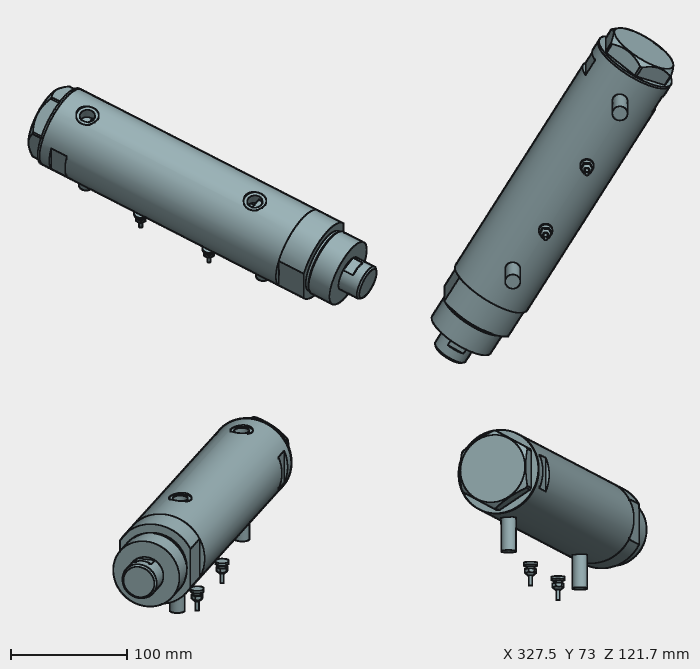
import cadquery as cq
import math

total_length = 327.5

hex_length = 14.0
flange_end = 16.0
spigot_end = 42.5
barrel_end = 256.8
head_end = 282.3
relief_end = 285.0
nose_end = 307.2

barrel_diameter = 73.0
barrel_radius = barrel_diameter / 2
bore_radius = 25.0
barrel_flat_start = 26.0
barrel_flat_end = 42.0
barrel_across_flats = 66.8

port_positions = (41.5, 212.2)
port_radius = 6.5
spotface_radius = 9.8
spotface_depth = 1.5
spotface_level = barrel_radius - spotface_depth

leg_positions = (40.3, 220.7)
leg_radius = 6.5
leg_bottom = -65.2

hex_across_flats = 60.0
hex_turned_radius = 34.0
hex_chamfer = 4.5

gland_spigot_start = port_positions[1]
gland_spigot_radius = 31.0
gland_across_flats = 64.0
nose_diameter = 60.0
nose_radius = nose_diameter / 2
nose_chamfer = 1.15
relief_radius = nose_radius - nose_chamfer

rod_diameter = 31.0
rod_radius = rod_diameter / 2
piston_length = 25.0
rod_flat_end = 317.0
rod_across_flats = 27.0
rod_chamfer = 1.5

nipple_positions = (96.0, 165.5)
nipple_top = leg_bottom
nipple_length = 20.0
nipple_head_radius = 6.0
nipple_head_height = 2.3
nipple_neck_radius = 3.5
nipple_neck_start = 3.5
nipple_hex_start = 5.5
nipple_hex_end = 8.5
nipple_hex_across_flats = 9.0
nipple_cone_tip_radius = 2.3
nipple_stem_radius = 1.5
nipple_stem_start = 11.0


def hex_diameter(across_flats):
    """Diameter of the circle through the corners of a hexagon."""
    return across_flats / math.cos(math.radians(30))


def round_bar(start, end, radius):
    """Cylinder on the X axis between two stations."""
    return cq.Workplane("YZ", origin=(start, 0, 0)).circle(radius).extrude(end - start)


def flats_cutter(start, end, radius, across_flats):
    """Two segments to cut from a round bar for flats facing -Y and +Y."""
    kept = (
        cq.Workplane("YZ", origin=(start, 0, 0))
        .rect(across_flats, 3 * radius)
        .extrude(end - start)
    )
    return round_bar(start, end, radius).cut(kept)


def cap_hex():
    """Hexagon with corners up and down, turned to a cylinder and chamfered at its outer face."""
    hexagon = (
        cq.Workplane("YZ")
        .polygon(6, hex_diameter(hex_across_flats))
        .extrude(hex_length)
        .rotate((0, 0, 0), (1, 0, 0), 90)
    )
    envelope = round_bar(0, hex_length, hex_turned_radius).faces("<X").chamfer(hex_chamfer)
    return hexagon.intersect(envelope)


def make_end_cap():
    """Hexagon, flange against the barrel end, and a spigot that fills the bore."""
    flange = round_bar(hex_length, flange_end, barrel_radius)
    spigot = round_bar(flange_end, spigot_end, bore_radius)
    return cap_hex().union(flange).union(spigot)


def port(position):
    """Vertical port that opens into the bore, with a spotface around it."""
    hole = cq.Workplane(origin=(position, 0, 0)).circle(port_radius).extrude(barrel_radius)
    spotface = (
        cq.Workplane(origin=(position, 0, spotface_level))
        .circle(spotface_radius)
        .extrude(spotface_depth)
    )
    return hole.union(spotface)


def leg(position):
    """Round leg that starts inside the barrel wall."""
    wall_middle = -(barrel_radius + gland_spigot_radius) / 2
    return (
        cq.Workplane(origin=(position, 0, leg_bottom))
        .circle(leg_radius)
        .extrude(wall_middle - leg_bottom)
    )


def make_barrel():
    """Tube with two legs, two wrench flats, two ports and a counterbore for the gland."""
    barrel = round_bar(flange_end, barrel_end, barrel_radius)
    barrel = barrel.cut(
        flats_cutter(barrel_flat_start, barrel_flat_end, barrel_radius, barrel_across_flats)
    )
    for position in leg_positions:
        barrel = barrel.union(leg(position))
    barrel = barrel.cut(round_bar(flange_end, barrel_end, bore_radius))
    barrel = barrel.cut(round_bar(gland_spigot_start, barrel_end, gland_spigot_radius))
    for position in port_positions:
        barrel = barrel.cut(port(position))
    return barrel


def make_gland():
    """Guide for the rod: spigot, head with two flats, relief groove and nose."""
    head = round_bar(barrel_end, head_end, barrel_radius)
    head = head.cut(flats_cutter(barrel_end, head_end, barrel_radius, gland_across_flats))
    spigot = round_bar(gland_spigot_start, barrel_end, gland_spigot_radius)
    relief = round_bar(head_end, relief_end, relief_radius)
    nose = round_bar(relief_end, nose_end, nose_radius).faces("<X").chamfer(nose_chamfer)
    gland = spigot.union(head).union(relief).union(nose)
    return gland.cut(round_bar(gland_spigot_start, nose_end, rod_radius))


def make_rod():
    """Piston against the cap spigot, rod through the gland, flats above and below just outside it."""
    piston = round_bar(spigot_end, spigot_end + piston_length, bore_radius)
    shaft = round_bar(spigot_end, total_length, rod_radius).faces(">X").chamfer(rod_chamfer)
    flats = flats_cutter(nose_end, rod_flat_end, rod_radius, rod_across_flats)
    flats = flats.rotate((0, 0, 0), (1, 0, 0), 90)
    return piston.union(shaft).cut(flats)


def make_nipple(position):
    """Grease nipple: round head, neck, hexagon with a cone below it, and a stem."""
    hex_radius = hex_diameter(nipple_hex_across_flats) / 2
    profile = [
        (0, 0),
        (nipple_head_radius, 0),
        (nipple_head_radius, -nipple_head_height),
        (nipple_neck_radius, -nipple_neck_start),
        (nipple_neck_radius, -nipple_hex_start),
        (hex_radius, -nipple_hex_start),
        (hex_radius, -nipple_hex_end),
        (nipple_cone_tip_radius, -nipple_stem_start),
        (nipple_stem_radius, -nipple_stem_start),
        (nipple_stem_radius, -nipple_length),
        (0, -nipple_length),
    ]
    turned = cq.Workplane("XZ").polyline(profile).close().revolve(360, (0, 0, 0), (0, 1, 0))
    hexagon_height = nipple_stem_start - nipple_hex_start
    hexagon_cutter = (
        cq.Workplane(origin=(0, 0, -nipple_stem_start))
        .circle(2 * hex_radius)
        .polygon(6, 2 * hex_radius)
        .extrude(hexagon_height)
    )
    return turned.cut(hexagon_cutter).translate((position, 0, nipple_top))


end_cap = make_end_cap()
barrel = make_barrel()
gland = make_gland()
rod = make_rod()
nipples = [make_nipple(position).val() for position in nipple_positions]

result = cq.Compound.makeCompound([end_cap.val(), barrel.val(), gland.val(), rod.val(), *nipples])